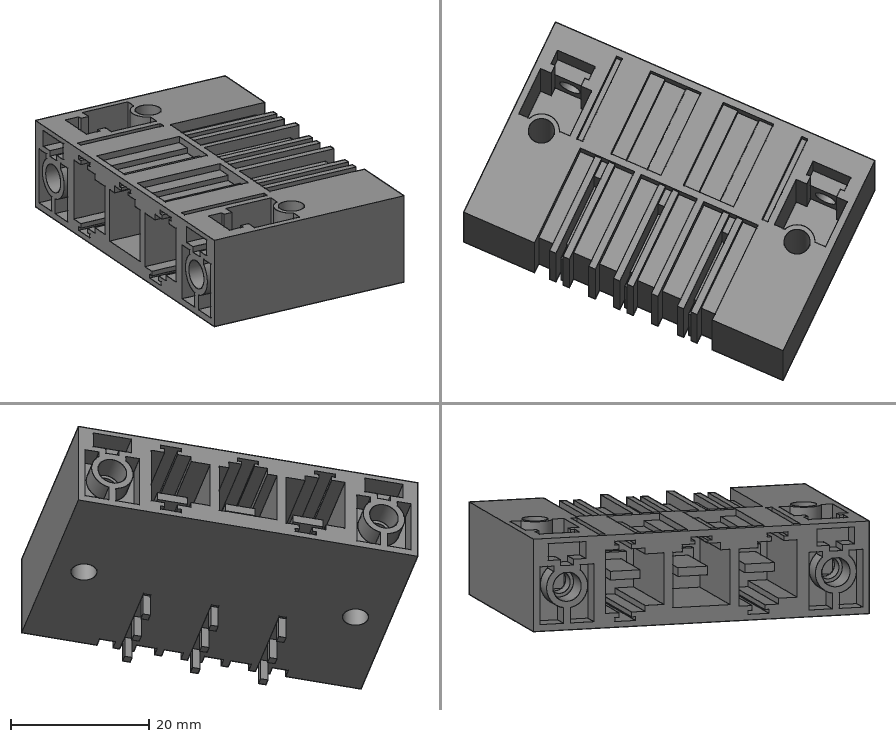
import cadquery as cq


LENGTH = 50.8
DEPTH = 31.9
HEIGHT = 13.6
WALL = 1.05

PITCH = 10.15
POSITIONS = (-PITCH, 0.0, PITCH)
FLANGE_X = 2 * PITCH
CAVITY_DEPTH = 14.95
RECESS_FRONT = CAVITY_DEPTH + WALL

OUTER_CAVITY_HALF_SPAN = 14.5
OUTER_CAVITY_WIDTH = 8.8
OUTER_CAVITY_INNER_X = OUTER_CAVITY_HALF_SPAN - OUTER_CAVITY_WIDTH
OUTER_STEP_WIDTH = 5.95
MIDDLE_CAVITY_HALF = 4.3
MIDDLE_STEP_HALF = 2.9
CAVITY_TOP = 10.55
OUTER_STEP_TOP = 11.45
MIDDLE_STEP_TOP = 11.65
OUTER_CAVITY_BOTTOM = 3.0
OUTER_STEP_BOTTOM = 2.15
MIDDLE_CAVITY_BOTTOM = 2.45

KEY_INSET = 2.95
KEY_NECK_HALF = 0.95
KEY_HEAD_HALF = 1.6
KEY_HEAD_THICKNESS = 0.55
UPPER_KEY_TOP = 12.65
LOWER_KEY_BOTTOM = 0.85

SLIT_INNER_X = 14.3
SLIT_OUTER_X = 15.2
WINDOW_INNER_X = 1.8
WINDOW_OUTER_X = 9.75
GROOVE_INNER_X = 4.1
GROOVE_OUTER_X = 7.45
WINDOW_DEPTH = 0.95
GROOVE_DEPTH = 1.8

RECESS_HALF = 14.1
RECESS_DEPTH = 1.65
RECESS_BACK = 30.45
SINGLE_RIB_X = 5.0
SINGLE_RIB_WIDTH = 1.05
PAIR_RIB_WIDTH = 1.0
PAIR_RIB_DROP = 0.55

CONTACT_THICKNESS = 1.1
CONTACT_FRONT = 18.6
CONTACT_STEP = 28.3
CONTACT_BACK = 30.25
LEG_LENGTH = 3.5
LEG_DEPTH = 1.15
LEG_PITCH = 5.1
LEG_COUNT = 3
BLADE_WIDTH = 4.45
BLADE_THICKNESS = 1.25
BLADE_Z = 6.8
BLADE_TIP = 4.4
COLLAR_WIDTH = 6.05
COLLAR_HEIGHT = 3.35

POCKET_WIDTH = 8.15
POCKET_DEPTH = 3.05
POCKET_BOTTOM = 1.0
POCKET_TOP = 9.5
TUBE_Z = 6.35
TUBE_RADIUS = 3.1
BORE_RADIUS = 2.15
LOWER_WEB_WIDTH = 1.05
UPPER_WEB_WIDTH = 4.0
LATCH_WIDTH = 5.7
LATCH_NECK_WIDTH = 1.95
LATCH_BOTTOM = 10.35
LATCH_TOP = 12.85

NUT_SIZE = 6.0
NUT_FRONT = 3.8
NUT_THICKNESS = 2.25
NUT_BACK = NUT_FRONT + NUT_THICKNESS
NUT_HOLE_RADIUS = 1.65
SLOT_FLOOR = TUBE_Z - NUT_SIZE / 2
NECK_WIDTH = 4.7
OPENING_FRONT = 7.35
MOUNTING_Y = 15.95
MOUNTING_RADIUS = 1.9
BOSS_RADIUS = 2.6


def block(x0, x1, y0, y1, z0, z1):
    """Box between two opposite corners; the x limits may come in either order."""
    left = min(x0, x1)
    return cq.Workplane("XY").box(abs(x1 - x0), y1 - y0, z1 - z0, centered=False).translate((left, y0, z0))


def centered_block(x, width, y0, y1, z0, z1):
    """Box of the given width centred on x."""
    return block(x - width / 2, x + width / 2, y0, y1, z0, z1)


def cylinder_along_y(x, z, radius, y0, y1):
    return cq.Workplane("XZ", origin=(x, y0, z)).circle(radius).extrude(y0 - y1)


def cylinder_along_z(x, y, radius, z0, z1):
    return cq.Workplane("XY", origin=(x, y, z0)).circle(radius).extrude(z1 - z0)


def upper_key(x, shelf_z):
    """T-shaped slot rising from a cavity roof at shelf_z."""
    head_z = UPPER_KEY_TOP - KEY_HEAD_THICKNESS
    neck = centered_block(x, 2 * KEY_NECK_HALF, 0, CAVITY_DEPTH, shelf_z, head_z)
    return neck.union(centered_block(x, 2 * KEY_HEAD_HALF, 0, CAVITY_DEPTH, head_z, UPPER_KEY_TOP))


def lower_key(x, shelf_z):
    """T-shaped slot going down from a cavity floor at shelf_z."""
    head_z = LOWER_KEY_BOTTOM + KEY_HEAD_THICKNESS
    neck = centered_block(x, 2 * KEY_NECK_HALF, 0, CAVITY_DEPTH, head_z, shelf_z)
    return neck.union(centered_block(x, 2 * KEY_HEAD_HALF, 0, CAVITY_DEPTH, LOWER_KEY_BOTTOM, head_z))


def outer_cavity(side):
    """Outer cavity: its raised roof is on the outer side, its lowered floor on the -X side."""
    outer_x = side * OUTER_CAVITY_HALF_SPAN
    inner_x = side * OUTER_CAVITY_INNER_X
    roof_step_x = outer_x - side * OUTER_STEP_WIDTH
    left_x = min(outer_x, inner_x)
    cavity = block(inner_x, outer_x, 0, CAVITY_DEPTH, OUTER_CAVITY_BOTTOM, CAVITY_TOP)
    cavity = cavity.union(block(roof_step_x, outer_x, 0, CAVITY_DEPTH, CAVITY_TOP, OUTER_STEP_TOP))
    cavity = cavity.union(
        block(left_x, left_x + OUTER_STEP_WIDTH, 0, CAVITY_DEPTH, OUTER_STEP_BOTTOM, OUTER_CAVITY_BOTTOM)
    )
    cavity = cavity.union(upper_key(outer_x - side * KEY_INSET, OUTER_STEP_TOP))
    return cavity.union(lower_key(left_x + KEY_INSET, OUTER_STEP_BOTTOM))


def middle_cavity():
    cavity = centered_block(0, 2 * MIDDLE_CAVITY_HALF, 0, CAVITY_DEPTH, MIDDLE_CAVITY_BOTTOM, CAVITY_TOP)
    cavity = cavity.union(
        centered_block(0, 2 * MIDDLE_STEP_HALF, 0, CAVITY_DEPTH, CAVITY_TOP, MIDDLE_STEP_TOP)
    )
    return cavity.union(upper_key(0, MIDDLE_STEP_TOP))


def contact_collar(x):
    """Raised pad on the cavity's rear wall around a blade."""
    return centered_block(
        x, COLLAR_WIDTH, CAVITY_DEPTH - WALL, CAVITY_DEPTH,
        BLADE_Z - COLLAR_HEIGHT / 2, BLADE_Z + COLLAR_HEIGHT / 2,
    )


def top_grooves(side):
    """Slit beside the outer cavity and stepped window over the wall between two cavities."""
    window_z = HEIGHT - WINDOW_DEPTH
    slit = block(side * SLIT_INNER_X, side * SLIT_OUTER_X, WALL, CAVITY_DEPTH, window_z, HEIGHT)
    window = block(side * WINDOW_INNER_X, side * WINDOW_OUTER_X, WALL, CAVITY_DEPTH, window_z, HEIGHT)
    groove = block(
        side * GROOVE_INNER_X, side * GROOVE_OUTER_X, WALL, CAVITY_DEPTH, HEIGHT - GROOVE_DEPTH, HEIGHT
    )
    return slit.union(window).union(groove)


def rear_recess():
    """Recess in the top rear and the notch behind it, with the ribs left standing."""
    recess = centered_block(0, 2 * RECESS_HALF, RECESS_FRONT, DEPTH, HEIGHT - RECESS_DEPTH, HEIGHT)
    recess = recess.union(centered_block(0, 2 * RECESS_HALF, RECESS_BACK, DEPTH, 0, HEIGHT))
    for side in (-1, 1):
        recess = recess.cut(
            centered_block(side * SINGLE_RIB_X, SINGLE_RIB_WIDTH, RECESS_FRONT, DEPTH, 0, HEIGHT)
        )
    rib_top = HEIGHT - PAIR_RIB_DROP
    for x in POSITIONS:
        for side in (-1, 1):
            rib_inner_x = x + side * CONTACT_THICKNESS / 2
            rib_outer_x = rib_inner_x + side * PAIR_RIB_WIDTH
            recess = recess.cut(block(rib_inner_x, rib_outer_x, RECESS_FRONT, DEPTH, 0, rib_top))
    return recess


def contact_slot(x):
    """Vertical slit open to the rear for the contact, and the passage for its blade."""
    slit = centered_block(x, CONTACT_THICKNESS, CONTACT_FRONT, DEPTH, 0, HEIGHT)
    return slit.union(blade(x, CAVITY_DEPTH - WALL))


def flange_pocket(x):
    """Front pocket around the screw tube, leaving the tube and its two webs."""
    pocket = centered_block(x, POCKET_WIDTH, 0, POCKET_DEPTH, POCKET_BOTTOM, POCKET_TOP)
    pocket = pocket.cut(cylinder_along_y(x, TUBE_Z, TUBE_RADIUS, 0, POCKET_DEPTH))
    pocket = pocket.cut(centered_block(x, LOWER_WEB_WIDTH, 0, POCKET_DEPTH, POCKET_BOTTOM, TUBE_Z))
    return pocket.cut(centered_block(x, UPPER_WEB_WIDTH, 0, POCKET_DEPTH, TUBE_Z, POCKET_TOP))


def latch_slot(x):
    """T-shaped slot above the screw tube."""
    head = centered_block(x, LATCH_WIDTH, 0, POCKET_DEPTH, LATCH_BOTTOM, LATCH_TOP)
    return head.union(centered_block(x, LATCH_NECK_WIDTH, 0, POCKET_DEPTH, POCKET_TOP, LATCH_BOTTOM))


def nut_opening(x):
    """Opening in the top: nut slot, neck and wide well, which flows around the mounting boss."""
    slot = centered_block(x, NUT_SIZE, NUT_FRONT, NUT_BACK, SLOT_FLOOR, HEIGHT)
    neck = centered_block(x, NECK_WIDTH, NUT_BACK, OPENING_FRONT, SLOT_FLOOR, HEIGHT)
    well = centered_block(x, POCKET_WIDTH, OPENING_FRONT, CAVITY_DEPTH, SLOT_FLOOR, HEIGHT)
    well = well.cut(cylinder_along_z(x, MOUNTING_Y, BOSS_RADIUS, 0, HEIGHT))
    return slot.union(neck).union(well)


def screw_flange(x):
    """Everything that is cut out of one flange."""
    cutout = flange_pocket(x).union(latch_slot(x)).union(nut_opening(x))
    cutout = cutout.union(cylinder_along_y(x, TUBE_Z, BORE_RADIUS, 0, NUT_FRONT))
    return cutout.union(cylinder_along_z(x, MOUNTING_Y, MOUNTING_RADIUS, 0, HEIGHT))


def make_housing():
    housing = centered_block(0, LENGTH, 0, DEPTH, 0, HEIGHT)
    housing = housing.cut(middle_cavity()).cut(rear_recess())
    for side in (-1, 1):
        housing = housing.cut(outer_cavity(side)).cut(top_grooves(side)).cut(screw_flange(side * FLANGE_X))
    for x in POSITIONS:
        housing = housing.union(contact_collar(x)).cut(contact_slot(x))
    return housing


def blade(x, front):
    """Flat blade from the given front end to the contact's upright plate."""
    return centered_block(
        x, BLADE_WIDTH, front, CONTACT_FRONT, BLADE_Z - BLADE_THICKNESS / 2, BLADE_Z + BLADE_THICKNESS / 2
    )


def make_contact(x):
    """Blade, upright plate with a lower rear end, and a row of solder legs."""
    plate_top = BLADE_Z + BLADE_THICKNESS / 2
    rear_top = BLADE_Z - BLADE_THICKNESS / 2
    contact = blade(x, BLADE_TIP)
    contact = contact.union(centered_block(x, CONTACT_THICKNESS, CONTACT_FRONT, CONTACT_STEP, 0, plate_top))
    contact = contact.union(centered_block(x, CONTACT_THICKNESS, CONTACT_STEP, CONTACT_BACK, 0, rear_top))
    for index in range(LEG_COUNT):
        leg_back = CONTACT_BACK - index * LEG_PITCH
        contact = contact.union(
            centered_block(x, CONTACT_THICKNESS, leg_back - LEG_DEPTH, leg_back, -LEG_LENGTH, 0)
        )
    return contact


def make_nut(x):
    """Square nut standing in its slot, in line with the screw tube."""
    nut = centered_block(x, NUT_SIZE, NUT_FRONT, NUT_BACK, SLOT_FLOOR, SLOT_FLOOR + NUT_SIZE)
    return nut.cut(cylinder_along_y(x, TUBE_Z, NUT_HOLE_RADIUS, NUT_FRONT, NUT_BACK))


housing = make_housing().solids()
contacts = [make_contact(x).solids() for x in POSITIONS]
nuts = [make_nut(side * FLANGE_X).solids() for side in (-1, 1)]

result = cq.Compound.makeCompound(
    [housing.val(), *[contact.val() for contact in contacts], *[nut.val() for nut in nuts]]
)